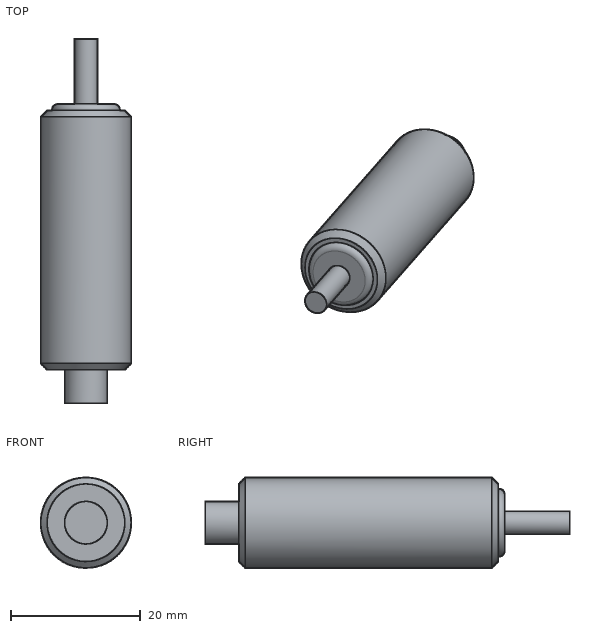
import cadquery as cq

total_length = 56.2

body_diameter = 14.0
body_chamfer = 1.0
body_length = 40.0

stub_diameter = 6.6
stub_length = 5.15

collar_diameter = 10.5
collar_length = 1.0
collar_fillet = 0.95

shaft_diameter = 3.6
shaft_length = total_length - stub_length - body_length - collar_length

stub_start = -total_length / 2
body_start = stub_start + stub_length
collar_start = body_start + body_length
shaft_start = collar_start + collar_length


def cylinder_along_y(diameter, length, start):
    """Cylinder on the Y axis, growing toward +Y from the given position."""
    plane = cq.Workplane("XZ", origin=(0, start, 0))
    return plane.circle(diameter / 2).extrude(-length)


stub = cylinder_along_y(stub_diameter, stub_length, stub_start)

body = cylinder_along_y(body_diameter, body_length, body_start)
body = body.faces("<Y or >Y").edges().chamfer(body_chamfer)

collar = cylinder_along_y(collar_diameter, collar_length, collar_start)
collar = collar.faces(">Y").edges().fillet(collar_fillet)

shaft = cylinder_along_y(shaft_diameter, shaft_length, shaft_start)

result = stub.union(body).union(collar).union(shaft)